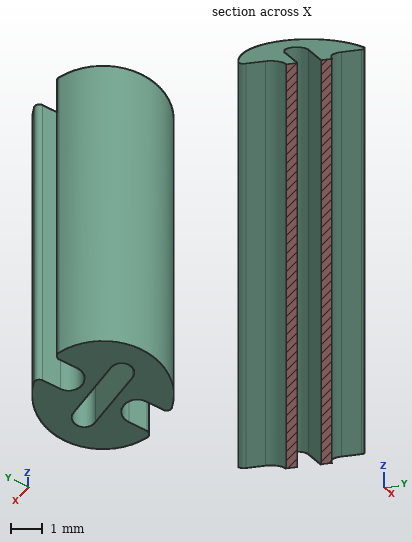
import cadquery as cq

length = 13.5
diameter = 4.5
groove_width = 1.01
groove_floor_offset = 0.78
lip_radius = 0.18
slot_length = 3.0
slot_width = 0.8

radius = diameter / 2
groove_radius = groove_width / 2


def groove(side):
    """Round-bottomed groove along the full length, on the +Y (1) or -Y (-1) side."""
    round_center = side * (groove_floor_offset + groove_radius)
    floor = cq.Workplane("XY").center(0, round_center).circle(groove_radius).extrude(length)
    opening = (
        cq.Workplane("XY")
        .center(0, round_center + side * radius / 2)
        .rect(groove_width, radius)
        .extrude(length)
    )
    return floor.union(opening)


body = cq.Workplane("XY").circle(radius).extrude(length)
for side in (1, -1):
    body = body.cut(groove(side))

lip_start = groove_floor_offset + groove_width
for side in (1, -1):
    lips = cq.selectors.BoxSelector((-radius, side * lip_start, 0), (radius, side * radius, length))
    body = body.edges("|Z").edges(lips).fillet(lip_radius)

slot = cq.Workplane("XY").slot2D(slot_length, slot_width).extrude(length)
result = body.cut(slot)